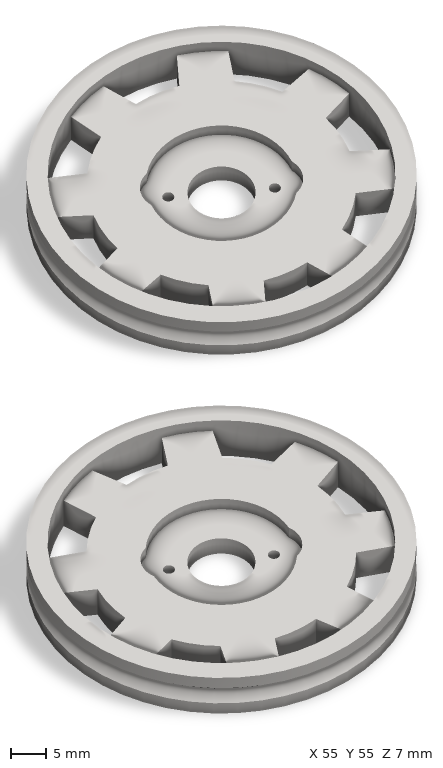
import cadquery as cq
import math

rim_diameter = 55.0
rim_height = 7.0
rim_inner_diameter = 49.0

groove_depth = 1.5
groove_width = 2 * groove_depth

web_recess = 2.0
web_thickness = rim_height - web_recess

window_count = 8
window_inner_radius = 19.0
window_inner_width = 7.0
window_outer_width = 11.8

bore_diameter = 9.6
pocket_diameter = 21.4
pocket_depth = 2.0
pocket_floor = web_thickness - pocket_depth

pin_hole_diameter = 1.7
pin_circle_radius = 7.55
pin_angle = 22.5
lobe_diameter = 8.0


def grooved_rim():
    """Ring with a V-groove, revolved about Z from its half cross-section."""
    outer = rim_diameter / 2
    inner = rim_inner_diameter / 2
    middle = rim_height / 2
    profile = [
        (inner, 0),
        (outer, 0),
        (outer, middle - groove_width / 2),
        (outer - groove_depth, middle),
        (outer, middle + groove_width / 2),
        (outer, rim_height),
        (inner, rim_height),
    ]
    return cq.Workplane("XZ").polyline(profile).close().revolve(360, (0, 0), (0, 1))


def point_on_circle(radius, half_width):
    """Point of a circle about the origin at a given sideways offset from the X axis."""
    return math.sqrt(radius**2 - half_width**2), half_width


def window():
    """Window on the +X axis, bounded by two arcs about the origin and two flared sides."""
    outer_radius = rim_inner_diameter / 2
    inner_x, inner_y = point_on_circle(window_inner_radius, window_inner_width / 2)
    outer_x, outer_y = point_on_circle(outer_radius, window_outer_width / 2)
    return (
        cq.Workplane("XY")
        .moveTo(inner_x, -inner_y)
        .lineTo(outer_x, -outer_y)
        .threePointArc((outer_radius, 0), (outer_x, outer_y))
        .lineTo(inner_x, inner_y)
        .threePointArc((window_inner_radius, 0), (inner_x, -inner_y))
        .close()
        .extrude(web_thickness)
    )


def at_pin_positions(workplane):
    """Two opposite positions on the pin circle."""
    return workplane.polarArray(pin_circle_radius, pin_angle, 360, 2)


def lobed_pocket():
    """Round pocket widened by a lobe around each pin hole."""
    floor = cq.Workplane("XY").workplane(offset=pocket_floor)
    lobes = at_pin_positions(floor).circle(lobe_diameter / 2).extrude(pocket_depth)
    return floor.circle(pocket_diameter / 2).extrude(pocket_depth).union(lobes)


def through_holes():
    """Central bore and the two pin holes."""
    base = cq.Workplane("XY")
    pins = at_pin_positions(base).circle(pin_hole_diameter / 2).extrude(web_thickness)
    return base.circle(bore_diameter / 2).extrude(web_thickness).union(pins)


def spoked_web():
    """Web disc with windows, pocket and holes."""
    web = cq.Workplane("XY").circle(rim_inner_diameter / 2).extrude(web_thickness)
    for index in range(window_count):
        angle = index * 360 / window_count
        web = web.cut(window().rotate((0, 0, 0), (0, 0, 1), angle))
    return web.cut(lobed_pocket()).cut(through_holes())


result = grooved_rim().union(spoked_web())